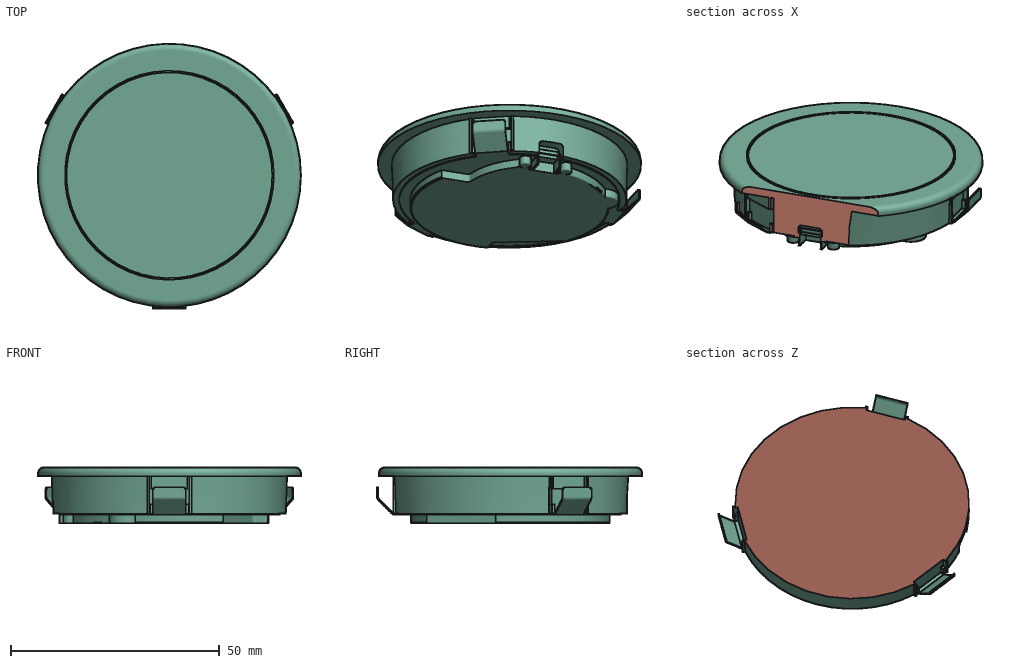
import cadquery as cq
import math

flange_radius = 31.5
flange_height = 2.1
flange_round = 1.5
total_height = 13.4
groove_outer_radius = 25.0
groove_width = 0.4
groove_depth = 0.2

body_top_radius = 28.2
body_bottom_radius = 27.9
body_depth = 9.0
cover_radius = 26.4
cover_thickness = 0.25
cover_bottom = -body_depth - cover_thickness

base_radius = 23.8
base_bottom = flange_height - total_height
base_edge_round = 0.3
bump_center = (-10.8, -19.9)
bump_radius = 3.6
side_notch_corner = (-10.4, 14.3)
side_notch_middle = (-18.2, 11.2)
side_notch_end = (-23.2, 5.9)
side_notch_round = 0.8
recess_start = (12.8, -20.2)
recess_corner = (20.0, -3.5)
recess_round = 1.0
cut_reach = base_radius + 2

clip_angles = (30, 150, 270)
clip_reach = 31.96
clip_width = 7.9
clip_thickness = 0.3
clip_top = -2.67
clip_bend = -5.4
clip_corner_round = 0.7
clip_bend_radius = 1.0
clip_foot_start = 26.0
clip_foot_end = 28.1
pocket_half_width = 4.8
pocket_floor = 27.0
post_width = 0.5
post_face = 28.05
panel_width = 8.6
panel_height = 3.0
panel_face = 27.9
ledge_half_width = 4.6
ledge_height = 2.2
insert_root = 26.0

latch_window_width = 6.1
latch_window_top = -5.9
latch_window_floor = 25.0
latch_window_round = 0.9
latch_reach = 26.3
latch_root = 22.0
latch_arm_width = 0.4
latch_arm_top = -7.85
latch_bar_top = -6.9
latch_bar_face = 25.4
latch_gap_width = 7.4
latch_gap_floor = 22.4
latch_gap_top = -8.75
latch_boss_center = (-24.0, 5.2)
latch_boss_radius = 1.4


def block(x_range, y_range, z_range):
    """Box spanning the given (low, high) ranges."""
    size = [high - low for low, high in (x_range, y_range, z_range)]
    corner = (x_range[0], y_range[0], z_range[0])
    return cq.Workplane("XY").box(*size, centered=False).translate(corner)


def make_flange():
    flange = cq.Workplane("XY").circle(flange_radius).extrude(flange_height)
    flange = flange.faces(">Z").edges().fillet(flange_round)
    groove = (
        cq.Workplane("XY", origin=(0, 0, flange_height - groove_depth))
        .circle(groove_outer_radius)
        .circle(groove_outer_radius - groove_width)
        .extrude(groove_depth)
    )
    return flange.cut(groove)


def make_body():
    draft = math.degrees(math.atan((body_top_radius - body_bottom_radius) / body_depth))
    body = cq.Workplane("XY").circle(body_top_radius).extrude(-body_depth, taper=draft)
    cover = (
        cq.Workplane("XY", origin=(0, 0, -body_depth))
        .circle(cover_radius)
        .extrude(-cover_thickness)
    )
    return body.union(cover)


def upright_edge(point):
    """Selector for the vertical base-plate edge standing at an (x, y) point."""
    middle = (base_bottom - body_depth) / 2
    return cq.selectors.NearestToPointSelector((*point, middle))


def make_base():
    """Round plate with one bump, a corner notch, a wedge recess and two latch bosses."""
    plane = cq.Workplane("XY", origin=(0, 0, base_bottom))
    height = -body_depth - base_bottom
    base = plane.circle(base_radius).extrude(height)
    base = base.union(plane.center(*bump_center).circle(bump_radius).extrude(height))

    recess = (
        plane.moveTo(*recess_start)
        .lineTo(*recess_corner)
        .lineTo(cut_reach, recess_corner[1])
        .lineTo(cut_reach, -cut_reach)
        .lineTo(recess_start[0], -cut_reach)
        .close()
        .extrude(height)
    )
    base = base.cut(recess.edges(upright_edge(recess_corner)).fillet(recess_round))
    base = base.faces("<Z").edges().fillet(base_edge_round)

    notch = (
        plane.moveTo(side_notch_corner[0], cut_reach)
        .lineTo(*side_notch_corner)
        .threePointArc(side_notch_middle, side_notch_end)
        .lineTo(-cut_reach, side_notch_end[1])
        .lineTo(-cut_reach, cut_reach)
        .close()
        .extrude(height)
    )
    base = base.cut(notch.edges(upright_edge(side_notch_corner)).fillet(side_notch_round))

    boss_x, boss_y = latch_boss_center
    for side in (-1, 1):
        boss = plane.center(boss_x, side * boss_y).circle(latch_boss_radius).extrude(height)
        base = base.union(boss.faces("<Z").edges().fillet(base_edge_round))
    return base


def make_clip_pocket():
    """Flat-bottomed pocket in the housing wall, facing +X."""
    return block(
        (pocket_floor, flange_radius),
        (-pocket_half_width, pocket_half_width),
        (-body_depth, 0),
    )


def make_clip_frame():
    """Side posts, upper panel and lower ledges of one clip pocket, facing +X."""
    frame = block(
        (insert_root, panel_face),
        (-panel_width / 2, panel_width / 2),
        (-panel_height, 0),
    )
    post_outer = pocket_half_width + post_width
    for side in (-1, 1):
        post_range = sorted((side * pocket_half_width, side * post_outer))
        frame = frame.union(block((insert_root, post_face), post_range, (-body_depth, 0)))
        ledge_range = sorted((side * clip_width / 2, side * ledge_half_width))
        ledge_top = ledge_height - body_depth
        frame = frame.union(
            block((insert_root, panel_face), ledge_range, (-body_depth, ledge_top))
        )
    return frame


def make_clip():
    """Bent sheet spring with a foot, an outward ramp and an upright tip, facing +X."""
    ramp = math.atan2(clip_bend - cover_bottom, clip_reach - clip_foot_end)
    foot_shift = clip_thickness * math.tan(ramp / 2)
    tip_shift = clip_thickness * math.tan((math.pi / 2 - ramp) / 2)
    clip = (
        cq.Workplane("XZ")
        .moveTo(clip_foot_start, cover_bottom)
        .lineTo(clip_foot_end, cover_bottom)
        .lineTo(clip_reach, clip_bend)
        .lineTo(clip_reach, clip_top)
        .lineTo(clip_reach - clip_thickness, clip_top)
        .lineTo(clip_reach - clip_thickness, clip_bend + tip_shift)
        .lineTo(clip_foot_end - foot_shift, cover_bottom + clip_thickness)
        .lineTo(clip_foot_start, cover_bottom + clip_thickness)
        .close()
        .extrude(clip_width / 2, both=True)
    )
    outer_bend = cq.selectors.NearestToPointSelector((clip_reach, 0, clip_bend))
    clip = clip.edges("|Y").edges(outer_bend).fillet(clip_bend_radius)
    inner_bend_point = (clip_reach - clip_thickness, 0, clip_bend + tip_shift)
    inner_bend = cq.selectors.NearestToPointSelector(inner_bend_point)
    clip = clip.edges("|Y").edges(inner_bend).fillet(clip_bend_radius - clip_thickness)
    return clip.faces(">Z").edges("|X").fillet(clip_corner_round)


def make_latch_window():
    half_width = latch_window_width / 2
    window = block(
        (-flange_radius, -latch_window_floor),
        (-half_width, half_width),
        (cover_bottom, latch_window_top),
    )
    return window.faces(">Z").edges("|X").fillet(latch_window_round)


def make_latch_gap():
    """Opening through the base plate and the bottom of the housing at the latch."""
    half_width = latch_gap_width / 2
    plate_gap = block(
        (-flange_radius, -latch_gap_floor),
        (-half_width, half_width),
        (base_bottom, cover_bottom),
    )
    half_width = latch_window_width / 2
    window_gap = block(
        (-flange_radius, -latch_gap_floor),
        (-half_width, half_width),
        (cover_bottom, latch_gap_top),
    )
    return plate_gap.union(window_gap)


def make_latch():
    """Two thin arms flanking the latch gap, and a cross bar in the window above them."""
    outer = latch_window_width / 2
    inner = outer - latch_arm_width
    latch = block(
        (-latch_bar_face, -latch_root),
        (-inner, inner),
        (latch_arm_top, latch_bar_top),
    )
    for side in (-1, 1):
        arm_range = sorted((side * inner, side * outer))
        arm = block((-latch_reach, -latch_root), arm_range, (base_bottom, latch_arm_top))
        latch = latch.union(arm)
    return latch


result = make_body().cut(make_latch_window())
for angle in clip_angles:
    result = result.cut(make_clip_pocket().rotate((0, 0, 0), (0, 0, 1), angle))
    result = result.union(make_clip_frame().rotate((0, 0, 0), (0, 0, 1), angle))
    result = result.union(make_clip().rotate((0, 0, 0), (0, 0, 1), angle))
result = result.union(make_flange()).union(make_base())
result = result.cut(make_latch_gap()).union(make_latch())